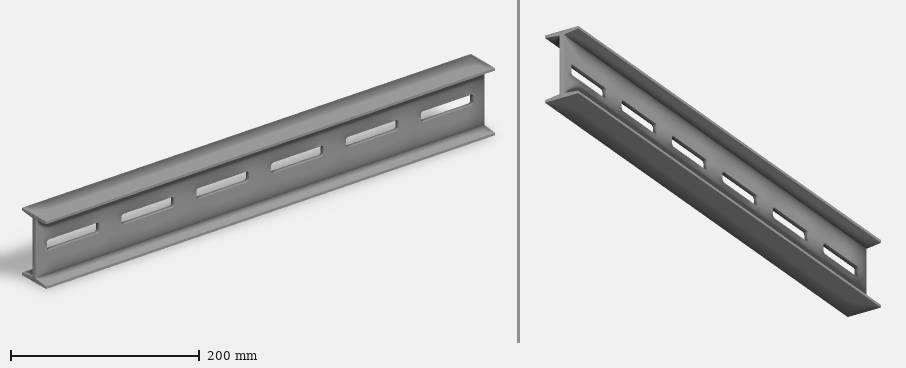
import cadquery as cq

length = 600.0
width = 42.0
height = 80.0

web_thickness = 5.5
flange_tip_thickness = 3.0
flange_root_thickness = 5.1

slot_count = 6
slot_pitch = length / slot_count
slot_length = 70.0
slot_height = 12.5
slot_corner_radius = 3.0


def make_beam():
    """Extrude the I-section along Y, centred on the origin."""
    half_width = width / 2
    half_height = height / 2
    half_web = web_thickness / 2
    tip_z = half_height - flange_tip_thickness
    root_z = half_height - flange_root_thickness
    right_half = [
        (0, half_height),
        (half_width, half_height),
        (half_width, tip_z),
        (half_web, root_z),
        (half_web, -root_z),
        (half_width, -tip_z),
        (half_width, -half_height),
        (0, -half_height),
    ]
    return (
        cq.Workplane("XZ")
        .polyline(right_half)
        .mirrorY()
        .extrude(length / 2, both=True)
    )


def make_slots():
    """Round-cornered cutters, evenly spaced along the web at mid-height."""
    return (
        cq.Workplane("XY")
        .rarray(6, slot_pitch, 1, slot_count)
        .box(width, slot_length, slot_height)
        .edges("|X")
        .fillet(slot_corner_radius)
    )


result = make_beam().cut(make_slots())